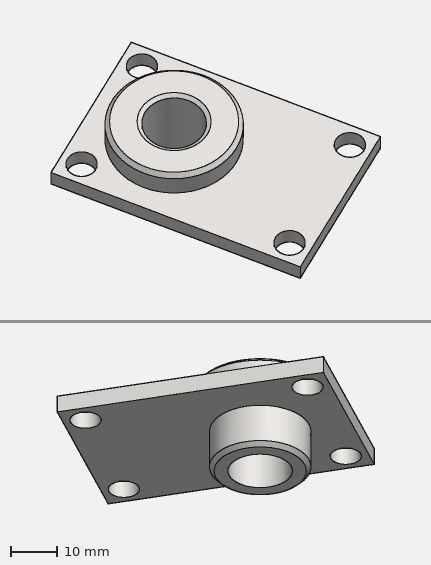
import cadquery as cq

plate_length = 60.0
plate_width = 40.0
plate_thickness = 4.0
mount_hole_diameter = 6.8
mount_hole_inset = 5.0

bushing_x = 20.0
bushing_y = plate_width / 2
flange_diameter = 30.0
flange_height = 6.0
shank_diameter = 22.0
bushing_length = 20.0
bore_diameter = 14.0
edge_chamfer = 1.0
bore_chamfer_width = 1.0
bore_chamfer_depth = 0.6

flange_top_z = plate_thickness + flange_height
shank_bottom_z = flange_top_z - bushing_length


def vertical_cylinder(diameter, bottom_z, top_z):
    """Cylinder on the bushing axis between two heights."""
    return (
        cq.Workplane("XY", origin=(bushing_x, bushing_y, bottom_z))
        .circle(diameter / 2)
        .extrude(top_z - bottom_z)
    )


def make_plate():
    """Rectangular plate with four corner holes and a seat for the shank."""
    blank = cq.Workplane("XY").box(plate_length, plate_width, plate_thickness, centered=False)
    hole_places = [
        (x, y)
        for x in (mount_hole_inset, plate_length - mount_hole_inset)
        for y in (mount_hole_inset, plate_width - mount_hole_inset)
    ]
    mount_holes = (
        cq.Workplane("XY")
        .pushPoints(hole_places)
        .circle(mount_hole_diameter / 2)
        .extrude(plate_thickness)
    )
    shank_seat = vertical_cylinder(shank_diameter, 0, plate_thickness)
    return blank.cut(mount_holes).cut(shank_seat)


def make_bushing():
    """Flange resting on the plate, shank through it, and a chamfered through bore."""
    flange = vertical_cylinder(flange_diameter, plate_thickness, flange_top_z)
    flange = flange.faces(">Z").edges().chamfer(edge_chamfer)
    shank = vertical_cylinder(shank_diameter, shank_bottom_z, plate_thickness)
    shank = shank.faces("<Z").edges().chamfer(edge_chamfer)
    bore = vertical_cylinder(bore_diameter, shank_bottom_z, flange_top_z)
    bored = flange.union(shank).cut(bore)
    bore_mouth = bored.faces(">Z").edges(cq.selectors.RadiusNthSelector(0))
    return bore_mouth.chamfer(bore_chamfer_width, bore_chamfer_depth)


plate = make_plate()
bushing = make_bushing()

result = cq.Compound.makeCompound([plate.solids().val(), bushing.solids().val()])